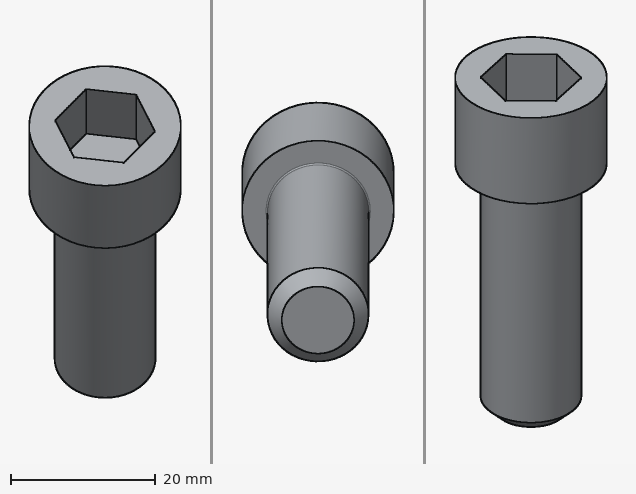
import cadquery as cq
import math

thread_diameter = 14.0
head_diameter = 1.5 * thread_diameter
head_height = thread_diameter
shank_length = 40.0
tip_chamfer = 2.0
seat_fillet = 0.2
hex_across_flats = 12.07
socket_depth = 10.0

hex_across_corners = hex_across_flats / math.cos(math.pi / 6)


def make_head():
    """Plain cylindrical head standing on the seat plane Z = 0."""
    return cq.Workplane("XY").circle(head_diameter / 2).extrude(head_height)


def add_shank(head):
    """Hang the shank below the seat, chamfer its tip and round the corner under the head."""
    screw = head.faces("<Z").workplane().circle(thread_diameter / 2).extrude(shank_length)
    screw = screw.faces("<Z").chamfer(tip_chamfer)
    seat_corner = cq.selectors.RadiusNthSelector(0)
    return screw.faces("|Z and (not <Z) and (not >Z)").edges(seat_corner).fillet(seat_fillet)


def make_socket():
    """Hexagonal socket with two corners in the XZ plane, sunk from the head top."""
    top = cq.Workplane("XY").workplane(offset=head_height)
    return top.polygon(6, hex_across_corners).extrude(-socket_depth)


result = add_shank(make_head()).cut(make_socket())